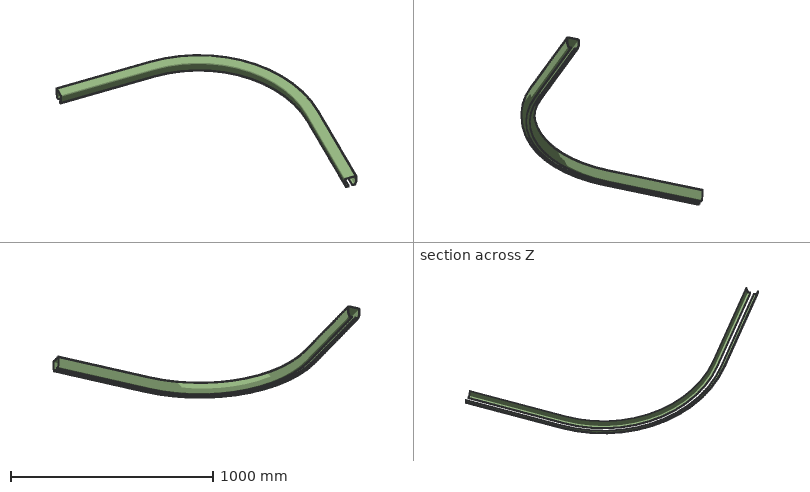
import cadquery as cq
import math

span = 1138.0
straight_length = 499.0
width = 65.0
height = 60.0

wall = 4.0
top_radius = 8.0
knee_radius = 14.0
foot_radius = 5.0
taper_height = 23.0
taper_inset = 8.0
slot_width = 18.0
slot_cutter_height = 3 * wall

center_offset = width / 2
bend_radius = span - straight_length - center_offset
level_tolerance = 1.14e-05

end_plane = cq.Plane.named("XZ", origin=(center_offset, 0, 0))


def channel_outline():
    """Outer wire of the channel, standing at the free end of the first leg."""
    half = width / 2
    foot = half - taper_inset
    sharp_corners = [
        (-foot, 0),
        (foot, 0),
        (half, taper_height),
        (half, height),
        (-half, height),
        (-half, taper_height),
    ]
    wire = cq.Workplane(end_plane).polyline(sharp_corners).close().val()
    for level, radius in ((0, foot_radius), (taper_height, knee_radius), (height, top_radius)):
        corners = [
            vertex for vertex in wire.Vertices()
            if math.isclose(vertex.Z, level, abs_tol=level_tolerance)
        ]
        wire = wire.fillet2D(radius, corners)
    return wire


def sweep_along_track(wire):
    """Solid swept up one leg, around the quarter bend and out along the other leg."""
    track_y = span - center_offset
    path = (
        cq.Workplane("XY")
        .moveTo(center_offset, 0)
        .lineTo(center_offset, straight_length)
        .tangentArcPoint((center_offset + bend_radius, track_y), relative=False)
        .lineTo(span, track_y)
    )
    return cq.Workplane(cq.Solid.sweep(wire, [], path.wire().val()))


outer_wire = channel_outline()
inner_wire = outer_wire.offset2D(-wall)[0]
slot_wire = cq.Workplane(end_plane).rect(slot_width, slot_cutter_height).val()

body = sweep_along_track(outer_wire)
cavity = sweep_along_track(inner_wire)
slot = sweep_along_track(slot_wire)

result = body.cut(cavity).cut(slot)